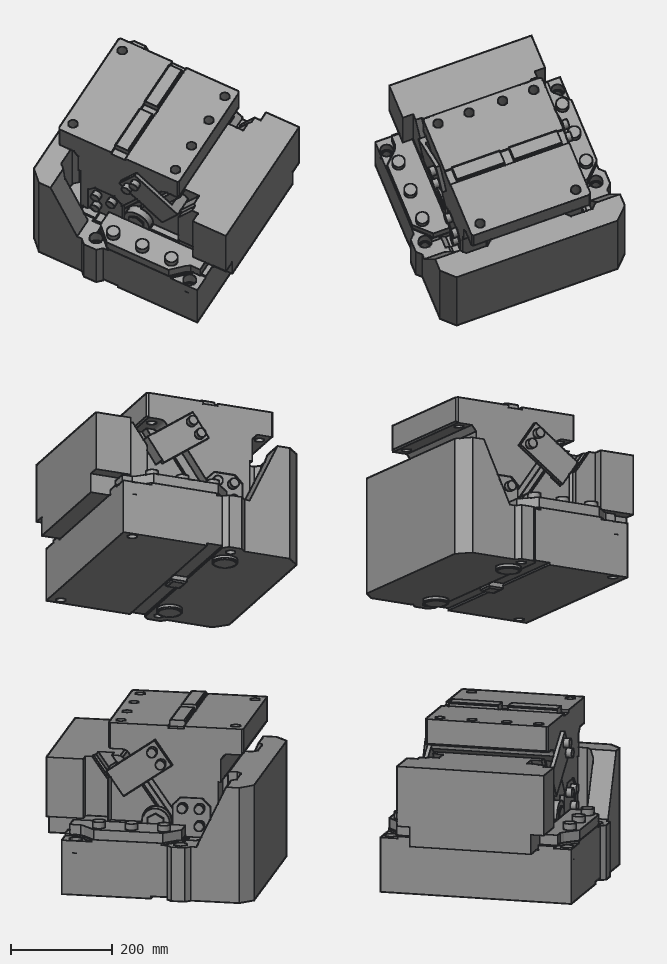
import cadquery as cq
import math

SIDES = (-1, 1)

CAM_ANGLE = 55.0
CAM_RUN = 1 / math.tan(math.radians(CAM_ANGLE))
FLOOR_Z = 105.0
SLIDE_TOP = 265.5
CAM_TOP_X = 276.5

BASE_LENGTH = 380.5
BASE_HALF = 195.0
WALL_TOP = 235.0
CORNER_CHAMFER = 25.0
CHEEK_TOP_X = 51.2
CHEEK_FOOT_X = 111.0
PAD_Z = 110.0
SEAT_Z = 114.2
SEAT_X = 140.5
FRONT_PAD_Y = 167.0
SEAT_DIAGONAL_X = 181.0
POCKET_X = 41.5
POCKET_HALF = 150.5
POCKET_END_X = 145.0
POCKET_CHAMFER = 17.2
TROUGH_XS = (85.3, 119.0)
FRONT_TROUGH_HALVES = (140.5, 135.2)
REAR_TROUGH_HALVES = (147.5, 136.5)
REAR_TROUGH_Z = 99.0
TONGUE_X = 70.0
TONGUE_HALF = 77.5
TONGUE_CHAMFER = 10.0
TONGUE_EDGE = 3.5
WEAR_PLATE_X = 80.5
WEAR_PLATE_TOP = 225.5
WEAR_PLATE_HALF = 75.5

EAR_HALF = 205.0
EAR_X = 145.5
EAR_LENGTH = 48.0
HOLE_SPACING = 210.0
HOLE_XS = (EAR_X, EAR_X + HOLE_SPACING)
HOLE_Y = 180.0
HOLE_DIA = 19.5
COUNTERBORE_DIA = 26.0
COUNTERBORE_DEPTH = 25.0

RAIL_X = (145.7, 370.0)
RAIL_INNER = 128.0
RAIL_OUTER = 194.5
RAIL_TOP = 135.0
RAIL_CHAMFER = 32.0
RAIL_NOTCH_X = 316.0
RAIL_NOTCH_Y = 164.2
RAIL_NOTCH_CORNER = 5.0
REAR_PAD_GAP = 4.5
RAIL_SCREW_X = 179.8
RAIL_SCREW_PITCH = 65.0
RAIL_SCREW_Y = 172.5
RAIL_SCREW_DIA = 25.0
RAIL_SCREW_HEIGHT = 12.5

BOTTOM_DEPTH = 8.5
BOTTOM_PAD_X = 140.3
BOTTOM_PAD_Y = 139.5
BOTTOM_PAD_DIA = 50.0
BOTTOM_PAD_CHAMFER = 2.5
BOTTOM_KEY_X = (169.3, 201.5)
BOTTOM_KEY_HALF = 17.2
BOTTOM_KEY_CHAMFER = 3.5
BOTTOM_GROOVE_DEPTH = 4.5

DRIVER_HALF = 125.0
DRIVER_TOP = 335.5
HEAD_X = (30.2, 300.5)
HEAD_BOTTOM = 283.0
HEAD_EDGE = 3.5
STEM_X = 75.0
STEM_CHAMFER = (10.0, 11.8)
RELIEF_RADIUS = 17.0
RELIEF_X = 273.5
FLANK_OFFSET = 35.5
CAM_PLATE_OFFSET = 12.5
CAM_HALF = 101.0
CAM_PLATE_HALF = 98.5

KEYWAY_X = (149.0, 180.5)
KEYWAY_Z = 330.5
KEY_TOP = 343.5
KEY_Y = (10.0, 110.5)
KEY_CHAMFER = 2.5
HEAD_HOLE_DIA = 19.0
HEAD_HOLE_X = (50.0, 280.0)
HEAD_HOLE_Y = 101.0
HEAD_HOLE_INNER_Y = 35.3

RECESS_X = (96.0, 172.0)
RECESS_TOP = 190.3
RECESS_CHAMFER = 16.5
RECESS_FLOOR = 122.2
KEEPER_INNER = 114.0
SCREW_DIA = 19.0
RECESS_SCREWS = ((117.0, 169.5), (151.5, 169.5), (117.0, 135.0))
RECESS_SCREW_Y = 134.5

HOOK_CENTER = (237.5, 247.5)
HOOK_LENGTH = 117.5
HOOK_WIDTH = 60.5
HOOK_OUTER = 133.5
HOOK_SCREWS = ((210.0, 283.5), (192.8, 259.5))
HOOK_SCREW_Y = 145.7

SLIDE_END = 420.0
BLOCK_X = 345.5
BLOCK_HALF = 150.0
BLOCK_BOTTOM = 144.5
BODY_HALF = 128.0
FOOT_HALF = 124.0
STEP_X = 301.5
STEP_TOP_X = 332.2
STEP_CHAMFER = 4.5
FLANK_HALF = 111.0
LEDGE_Z = 133.5
NOSE_EDGE = 3.0
GROOVE_X = (296.0, 327.5)
GROOVE_BOTTOM = 191.5
GROOVE_HALF = 90.0
BOLT_X = 206.0
BOLT_Z = 137.0
BOLT_POCKET_DIA = 59.5
BOLT_POCKET_FLOOR = 106.5
WASHER_DIA = 56.0
WASHER_Y = 124.7
HEX_ACROSS_CORNERS = 36.5
HEX_Y = 127.5


def cam_point(top_x, z):
    """Point at height z on the inclined line that reaches top_x at SLIDE_TOP."""
    return (top_x + (z - SLIDE_TOP) * CAM_RUN, z)


def box(xs, ys, zs):
    size = (xs[1] - xs[0], ys[1] - ys[0], zs[1] - zs[0])
    return cq.Workplane("XY").box(*size, centered=False).translate((xs[0], ys[0], zs[0]))


def plan(points, z_low, z_high):
    return cq.Workplane("XY").workplane(offset=z_low).polyline(points).close().extrude(z_high - z_low)


def both_sides(points):
    """Closed symmetric outline from the points of its +Y half."""
    return points + [(x, -y) for x, y in reversed(points)]


def profile(points, half_width):
    return cq.Workplane("XZ").polyline(points).close().extrude(half_width, both=True)


def side_layer(sketch, y_inner, y_outer, side):
    """Extrude an XZ outline from y_inner to y_outer on one side of the part."""
    return sketch.extrude(side * (y_inner - y_outer)).translate((0, side * y_inner, 0))


def side_pins(points, diameter, y_inner, y_outer, side):
    return side_layer(cq.Workplane("XZ").pushPoints(points).circle(diameter / 2), y_inner, y_outer, side)


def base_block():
    rise = SEAT_Z - PAD_Z
    block = profile(
        [(0, 0), (BASE_LENGTH, 0), (BASE_LENGTH, SEAT_Z), (SEAT_X + rise, SEAT_Z), (SEAT_X, PAD_Z),
         (CHEEK_FOOT_X, PAD_Z), (CHEEK_TOP_X, WALL_TOP), (0, WALL_TOP)], BASE_HALF)
    block = block.edges("|Z and <X").chamfer(CORNER_CHAMFER)
    reach = EAR_HALF - BASE_HALF
    half = EAR_LENGTH / 2
    ears = both_sides([(EAR_X - half, BASE_HALF), (EAR_X - half + reach, EAR_HALF),
                       (EAR_X + half - reach, EAR_HALF), (EAR_X + half, BASE_HALF)])
    return block.union(plan(ears, 0, PAD_Z))


def trough(x_low, x_high, top_half, bottom_half, floor_z):
    """Recess in the pocket floor with sloping sides."""
    section = [(-top_half, PAD_Z), (top_half, PAD_Z), (bottom_half, floor_z), (-bottom_half, floor_z)]
    return cq.Workplane("YZ").workplane(offset=x_low).polyline(section).close().extrude(x_high - x_low)


def guide_pocket():
    wide = POCKET_HALF
    pocket = plan(both_sides(
        [(POCKET_END_X, wide), (POCKET_X + POCKET_CHAMFER, wide), (POCKET_X, wide - POCKET_CHAMFER),
         (POCKET_X, TONGUE_HALF + TONGUE_CHAMFER), (POCKET_X + TONGUE_CHAMFER, TONGUE_HALF),
         (TONGUE_X, TONGUE_HALF)]), PAD_Z, WALL_TOP)
    channel = box((POCKET_END_X, BASE_LENGTH), (-RAIL_INNER, RAIL_INNER), (FLOOR_Z, SEAT_Z))
    front = trough(TROUGH_XS[0], TROUGH_XS[1], *FRONT_TROUGH_HALVES, FLOOR_Z)
    rear = trough(TROUGH_XS[1], POCKET_END_X, *REAR_TROUGH_HALVES, REAR_TROUGH_Z)
    return pocket.union(channel).union(front).union(rear)


def tongue():
    body = box((POCKET_X, TONGUE_X), (-TONGUE_HALF, TONGUE_HALF), (PAD_Z, WALL_TOP))
    body = body.edges(">X and >Z").chamfer(TONGUE_EDGE)
    plate = box((TONGUE_X, WEAR_PLATE_X), (-WEAR_PLATE_HALF, WEAR_PLATE_HALF), (PAD_Z, WEAR_PLATE_TOP))
    return body.union(plate)


def pad_cuts(side):
    """Clearance down to pad height at the front and rear holes."""
    diagonal_end = SEAT_DIAGONAL_X - (BASE_HALF - FRONT_PAD_Y)
    front = plan([(SEAT_X, side * BASE_HALF), (SEAT_DIAGONAL_X, side * BASE_HALF),
                  (diagonal_end, side * FRONT_PAD_Y), (SEAT_X, side * FRONT_PAD_Y)], PAD_Z, SEAT_Z)
    start = RAIL_NOTCH_X + REAR_PAD_GAP
    inner = RAIL_NOTCH_Y - REAR_PAD_GAP
    rear = plan([(start, side * BASE_HALF), (start + BASE_HALF - inner, side * inner),
                 (BASE_LENGTH, side * inner), (BASE_LENGTH, side * BASE_HALF)], PAD_Z, SEAT_Z)
    return front.union(rear)


def rail(side):
    x_low, x_high = RAIL_X
    notch_x = RAIL_NOTCH_X + RAIL_OUTER - RAIL_NOTCH_Y
    corner = RAIL_NOTCH_CORNER
    outline = [(x_low, RAIL_INNER), (x_low, RAIL_OUTER - RAIL_CHAMFER), (x_low + RAIL_CHAMFER, RAIL_OUTER),
               (RAIL_NOTCH_X, RAIL_OUTER), (notch_x - corner, RAIL_NOTCH_Y + corner),
               (notch_x + corner / 2, RAIL_NOTCH_Y), (x_high, RAIL_NOTCH_Y), (x_high, RAIL_INNER)]
    bar = plan([(x, side * y) for x, y in outline], SEAT_Z, RAIL_TOP)
    screws = cq.Workplane("XY").workplane(offset=RAIL_TOP).pushPoints(
        [(RAIL_SCREW_X + i * RAIL_SCREW_PITCH, side * RAIL_SCREW_Y) for i in range(3)]
    ).circle(RAIL_SCREW_DIA / 2).extrude(RAIL_SCREW_HEIGHT)
    return bar.union(screws)


def mounting_holes():
    points = [(x, side * HOLE_Y) for x in HOLE_XS for side in SIDES]
    holes = cq.Workplane("XY").pushPoints(points).circle(HOLE_DIA / 2).extrude(PAD_Z)
    bores = cq.Workplane("XY").workplane(offset=PAD_Z - COUNTERBORE_DEPTH).pushPoints(points)
    return holes.union(bores.circle(COUNTERBORE_DIA / 2).extrude(SEAT_Z - PAD_Z + COUNTERBORE_DEPTH))


def bottom_pads():
    points = [(BOTTOM_PAD_X, side * BOTTOM_PAD_Y) for side in SIDES]
    pads = cq.Workplane("XY").pushPoints(points).circle(BOTTOM_PAD_DIA / 2).extrude(-BOTTOM_DEPTH)
    return pads.faces("<Z").chamfer(BOTTOM_PAD_CHAMFER)


def bottom_key():
    key = box(BOTTOM_KEY_X, (-BOTTOM_KEY_HALF, BOTTOM_KEY_HALF), (-BOTTOM_DEPTH, BOTTOM_GROOVE_DEPTH))
    return key.faces("<Z").edges().chamfer(BOTTOM_KEY_CHAMFER)


def make_base():
    body = base_block().cut(guide_pocket()).union(tongue())
    for side in SIDES:
        body = body.cut(pad_cuts(side))
    body = body.cut(box(BOTTOM_KEY_X, (-EAR_HALF, EAR_HALF), (0, BOTTOM_GROOVE_DEPTH)))
    body = body.union(bottom_pads()).union(bottom_key()).cut(mounting_holes())
    for side in SIDES:
        body = body.union(rail(side))
    return body


def driver_head():
    head = box(HEAD_X, (-DRIVER_HALF, DRIVER_HALF), (HEAD_BOTTOM, DRIVER_TOP))
    return head.edges("|Z or (|Y and <Z)").chamfer(HEAD_EDGE)


def driver_stem():
    flank_x = CAM_TOP_X - FLANK_OFFSET
    return profile(
        [(STEM_X - STEM_CHAMFER[0], HEAD_BOTTOM), (STEM_X, HEAD_BOTTOM - STEM_CHAMFER[1]),
         (STEM_X, WEAR_PLATE_TOP), (WEAR_PLATE_X, WEAR_PLATE_TOP), (WEAR_PLATE_X, PAD_Z),
         cam_point(flank_x, PAD_Z), cam_point(flank_x, HEAD_BOTTOM)], DRIVER_HALF)


def relief_web():
    """Solid between the flank and the round relief under the head."""
    wall_x = RELIEF_X - RELIEF_RADIUS
    arc_z = HEAD_BOTTOM - RELIEF_RADIUS
    bulge = RELIEF_RADIUS * math.sqrt(0.5)
    flank_x = CAM_TOP_X - FLANK_OFFSET
    outline = (cq.Workplane("XZ").moveTo(RELIEF_X, HEAD_BOTTOM)
               .threePointArc((RELIEF_X - bulge, arc_z + bulge), (wall_x, arc_z))
               .lineTo(*cam_point(flank_x, arc_z - RELIEF_RADIUS))
               .lineTo(*cam_point(flank_x, HEAD_BOTTOM)).close())
    return outline.extrude(DRIVER_HALF, both=True)


def cam_layer(offset_from, offset_to, half_width):
    top = SLIDE_TOP - RELIEF_RADIUS
    near = CAM_TOP_X - offset_from
    far = CAM_TOP_X - offset_to
    return profile([cam_point(near, PAD_Z), cam_point(far, PAD_Z),
                    cam_point(far, top), cam_point(near, top)], half_width)


def keeper_outline():
    x_low, x_high = RECESS_X
    shoulder = RECESS_TOP - RECESS_CHAMFER
    return cq.Workplane("XZ").polyline(
        [(x_low, PAD_Z), (x_low, shoulder), (x_low + RECESS_CHAMFER, RECESS_TOP),
         (x_high - RECESS_CHAMFER, RECESS_TOP), (x_high, shoulder), (x_high, PAD_Z)]).close()


def keeper_recess(side):
    return side_layer(keeper_outline(), RECESS_FLOOR, DRIVER_HALF, side)


def keeper_plate(side):
    """Plate under the recess floor, reaching past the driver flank, with its screws."""
    plate = side_layer(keeper_outline(), KEEPER_INNER, RECESS_FLOOR, side)
    return plate.union(side_pins(RECESS_SCREWS, SCREW_DIA, RECESS_FLOOR, RECESS_SCREW_Y, side))


def groove_outline():
    """Inclined groove, open at the slide top and square at its lower end."""
    low, high = GROOVE_X
    cam = math.radians(CAM_ANGLE)
    width = (high - low) * math.sin(cam)
    foot_x, foot_z = cam_point(high, GROOVE_BOTTOM)
    return cq.Workplane("XZ").polyline(
        [(foot_x - width * math.sin(cam), foot_z + width * math.cos(cam)), (foot_x, foot_z),
         (high, SLIDE_TOP), (low, SLIDE_TOP)]).close()


def hook_outline():
    """Rectangle with its long side square to the cam faces."""
    tilted = cq.Workplane("XZ").center(*HOOK_CENTER).transformed(rotate=(0, 0, CAM_ANGLE - 90))
    return tilted.rect(HOOK_LENGTH, HOOK_WIDTH)


def hook_plate(side):
    """Inclined plate on the driver whose inner lip runs in the slide groove."""
    plate = side_layer(hook_outline(), DRIVER_HALF, HOOK_OUTER, side)
    lip = side_layer(hook_outline(), GROOVE_HALF, DRIVER_HALF, side)
    lip = lip.intersect(side_layer(groove_outline(), GROOVE_HALF, DRIVER_HALF, side))
    screws = side_pins(HOOK_SCREWS, SCREW_DIA, HOOK_OUTER, HOOK_SCREW_Y, side)
    return plate.union(lip).union(screws)


def top_key(side):
    ys = sorted(side * y for y in KEY_Y)
    return box(KEYWAY_X, ys, (KEYWAY_Z, KEY_TOP)).edges("|Y and >Z").chamfer(KEY_CHAMFER)


def head_holes():
    points = [(x, side * HEAD_HOLE_Y) for x in HEAD_HOLE_X for side in SIDES]
    points += [(HEAD_HOLE_X[1], side * HEAD_HOLE_INNER_Y) for side in SIDES]
    holes = cq.Workplane("XY").workplane(offset=HEAD_BOTTOM).pushPoints(points)
    return holes.circle(HEAD_HOLE_DIA / 2).extrude(DRIVER_TOP - HEAD_BOTTOM)


def make_driver():
    body = driver_head().union(driver_stem()).union(relief_web())
    body = body.union(cam_layer(FLANK_OFFSET, CAM_PLATE_OFFSET, CAM_HALF))
    body = body.union(cam_layer(CAM_PLATE_OFFSET, 0, CAM_PLATE_HALF))
    body = body.cut(box(KEYWAY_X, (-DRIVER_HALF, DRIVER_HALF), (KEYWAY_Z, DRIVER_TOP))).cut(head_holes())
    for side in SIDES:
        body = body.cut(keeper_recess(side)).union(keeper_plate(side))
        body = body.union(hook_plate(side)).union(top_key(side))
    return body


def slide_core():
    """Middle of the slide with the inclined cam face and a blunted nose."""
    return profile(
        [cam_point(CAM_TOP_X, FLOOR_Z), (SLIDE_END, FLOOR_Z), (SLIDE_END, SLIDE_TOP),
         (CAM_TOP_X + NOSE_EDGE, SLIDE_TOP), cam_point(CAM_TOP_X, SLIDE_TOP - NOSE_EDGE)], FLANK_HALF)


def step_outline(front_shift, z_low):
    """Outline of the slide body: its front edge is vertical below and inclined above."""
    front = STEP_X - front_shift
    top = STEP_TOP_X - front_shift
    bend_z = SLIDE_TOP - (top - front) / CAM_RUN
    return [(front, z_low), (SLIDE_END, z_low), (SLIDE_END, SLIDE_TOP), (top, SLIDE_TOP),
            (front, bend_z)]


def step_bevel(side):
    """Bevel from the flank out to the body front."""
    inner = step_outline(STEP_CHAMFER, LEDGE_Z)
    outer = step_outline(0, LEDGE_Z)
    flank = cq.Workplane("XZ", origin=(0, side * FLANK_HALF, 0)).polyline(inner).close()
    body = flank.workplane(offset=-side * STEP_CHAMFER).polyline(outer).close()
    return body.loft(ruled=True)


def slide_body():
    body = profile(step_outline(0, BLOCK_BOTTOM), BODY_HALF)
    for side in SIDES:
        body = body.union(step_bevel(side))
    block = box((BLOCK_X, SLIDE_END), (-BLOCK_HALF, BLOCK_HALF), (BLOCK_BOTTOM, SLIDE_TOP))
    return body.union(block)


def slide_foot():
    front = box((cam_point(CAM_TOP_X, LEDGE_Z)[0], STEP_X), (-FOOT_HALF, FOOT_HALF), (FLOOR_Z, LEDGE_Z))
    rear = box((STEP_X, SLIDE_END), (-FOOT_HALF, FOOT_HALF), (FLOOR_Z, BLOCK_BOTTOM))
    return front.union(rear)


def bolt_pocket(side):
    return side_pins([(BOLT_X, BOLT_Z)], BOLT_POCKET_DIA, BOLT_POCKET_FLOOR, FOOT_HALF, side)


def bolt(side):
    """Washer and hexagon head standing on the pocket floor."""
    center = [(BOLT_X, BOLT_Z)]
    washer = side_pins(center, WASHER_DIA, BOLT_POCKET_FLOOR, WASHER_Y, side)
    head = cq.Workplane("XZ").center(BOLT_X, BOLT_Z).transformed(rotate=(0, 0, 90))
    return washer.union(side_layer(head.polygon(6, HEX_ACROSS_CORNERS), WASHER_Y, HEX_Y, side))


def make_slide():
    body = slide_core().union(slide_body()).union(slide_foot())
    for side in SIDES:
        body = body.cut(side_layer(groove_outline(), GROOVE_HALF, FLANK_HALF, side))
        body = body.cut(bolt_pocket(side)).union(bolt(side))
    return body


base = make_base()
driver = make_driver()
slide = make_slide()
result = cq.Compound.makeCompound([body.solids().val() for body in (base, driver, slide)])